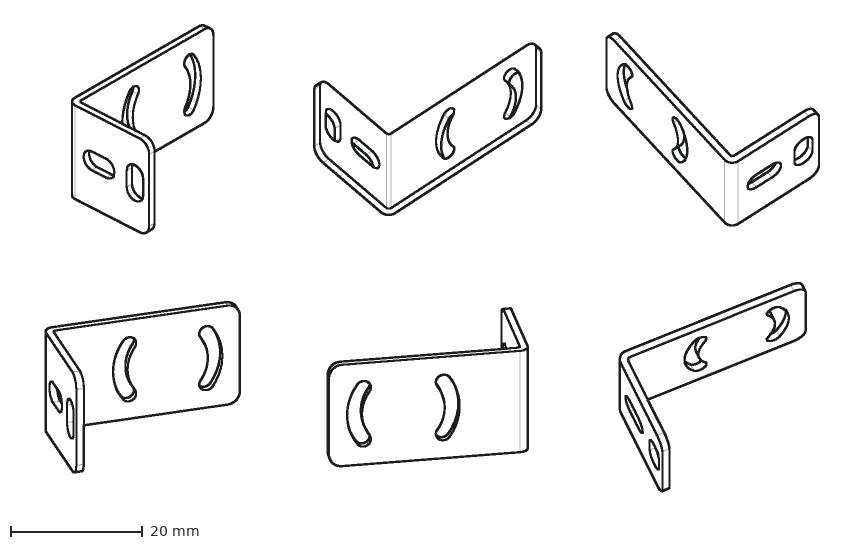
import cadquery as cq
import math

width = 17.0
length = 31.0
height = 17.0
thickness = 1.2
bend_outer_radius = 1.5
bend_inner_radius = 0.5
corner_radius = 2.0

slot_width = 3.4
slot_length = 6.4
level_slot_x = 6.5
upright_slot_x = 14.0

arc_center_y = 19.5
arc_radius = 7.55
arc_slot_width = 2.3
arc_half_angle = 35.0

mid_z = height / 2


def bent_sheet():
    """L-shaped sheet with its bend along Z and the unrounded bend corner at the origin."""
    sheet = (
        cq.Workplane("XY")
        .polyline([
            (0, 0),
            (width, 0),
            (width, thickness),
            (thickness, thickness),
            (thickness, length),
            (0, length),
        ])
        .close()
        .extrude(height)
    )
    inner_bend = cq.selectors.NearestToPointSelector((thickness, thickness, mid_z))
    outer_bend = cq.selectors.NearestToPointSelector((0, 0, mid_z))
    sheet = sheet.edges("|Z").edges(inner_bend).fillet(bend_inner_radius)
    sheet = sheet.edges("|Z").edges(outer_bend).fillet(bend_outer_radius)
    sheet = sheet.faces(">X").edges("|Y").fillet(corner_radius)
    return sheet.faces(">Y").edges("|X").fillet(corner_radius)


def straight_slot(center_x, angle):
    """Cutter through the short leg; the angle turns the slot from X towards Z."""
    return (
        cq.Workplane("XZ")
        .center(center_x, mid_z)
        .slot2D(slot_length, slot_width, angle)
        .extrude(-thickness)
    )


def arc_slot(side):
    """Cutter through the long leg, on the +Y (side = 1) or -Y (side = -1) side of the arc centre."""
    def point(radius, angle):
        turn = math.radians(angle)
        return (
            arc_center_y + side * radius * math.cos(turn),
            mid_z + radius * math.sin(turn),
        )

    cap_radius = arc_slot_width / 2
    outer_radius = arc_radius + cap_radius
    inner_radius = arc_radius - cap_radius
    tip_angle = arc_half_angle + math.degrees(math.atan2(cap_radius, arc_radius))
    tip_radius = math.hypot(arc_radius, cap_radius)
    return (
        cq.Workplane("YZ")
        .moveTo(*point(outer_radius, -arc_half_angle))
        .threePointArc(point(outer_radius, 0), point(outer_radius, arc_half_angle))
        .threePointArc(point(tip_radius, tip_angle), point(inner_radius, arc_half_angle))
        .threePointArc(point(inner_radius, 0), point(inner_radius, -arc_half_angle))
        .threePointArc(point(tip_radius, -tip_angle), point(outer_radius, -arc_half_angle))
        .close()
        .extrude(thickness)
    )


result = bent_sheet()
result = result.cut(straight_slot(level_slot_x, 0))
result = result.cut(straight_slot(upright_slot_x, 90))
for side in (1, -1):
    result = result.cut(arc_slot(side))